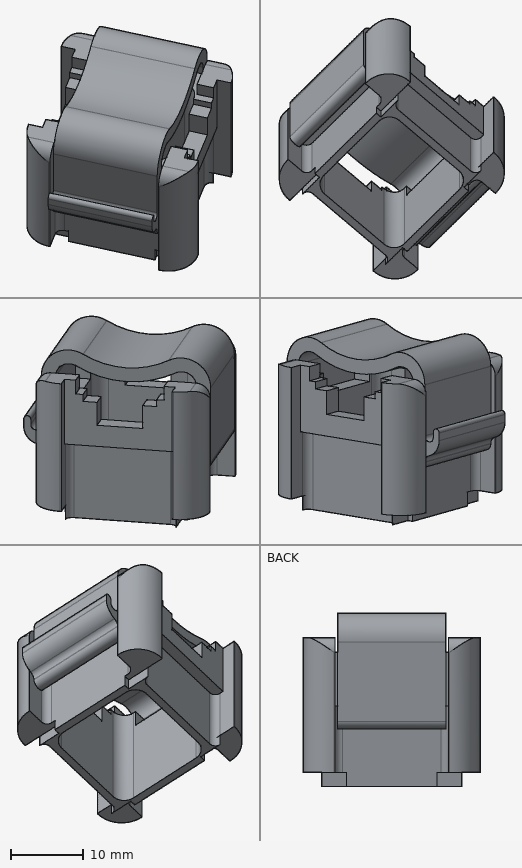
import cadquery as cq
import math

HOUSING_SIDE = 24.5
CORNER_RADIUS = 4.25
HALF_SIDE = HOUSING_SIDE / 2
WALL_STEP = 2.01

BASE_TOP = 2.0
POST_TOP = 20.62
WALL_TOP = POST_TOP - WALL_STEP
SKIRT_TOP = 11.18

CHANNEL_HALF_WIDTH = 7.85
WALL_FACE = HALF_SIDE - WALL_STEP
SKIRT_FACE = 8.7
CHANNEL_FILLET = 1.0

BASE_HALF_X = SKIRT_FACE + CHANNEL_FILLET
BASE_TONGUE_HALF_X = 6.25

CAVITY_HALF = 7.6
CAVITY_RADIUS = 2.01
POST_INNER_Y = 6.25
STEP_HALF_WIDTH = 5.22
STEP_FLOOR = 17.6
WINDOW_HALF_WIDTH = 3.23
WINDOW_FLOOR = 14.25
NOTCH_HALF_WIDTH = 5.22
NOTCH_FLOOR = 15.6

STRAP_WIDTH = 15.0
STRAP_LENGTH = 24.0
STRAP_TOP = 24.0
STRAP_BEND_RADIUS = 2 * WALL_STEP
STRAP_DIP = WALL_STEP
LEG_END_RADIUS = WALL_STEP / 2
LEG_END_Z = 9.0
STRAP_REAR = HALF_SIDE
STRAP_FRONT = STRAP_REAR - STRAP_LENGTH
STRAP_MIDDLE = (STRAP_REAR + STRAP_FRONT) / 2

TOTAL_LENGTH = 26.5
HOOK_REACH = TOTAL_LENGTH - STRAP_LENGTH
HOOK_CENTER_Z = 12.4
HOOK_TOP = 14.0
HOOK_TIP_THICKNESS = 1.0
HOOK_GROOVE_Z = 12.75
HOOK_ROOT_FILLET = 1.0


def block(half_x, half_y, z_low, z_high):
    """Box centred on the Z axis between two heights."""
    box = cq.Workplane("XY").box(2 * half_x, 2 * half_y, z_high - z_low, centered=(True, True, False))
    return box.translate((0, 0, z_low))


def four_channels(face, z_low, z_high, fillet=0):
    """One channel per housing side, cut inward as far as `face`."""
    depth = 2 * (HALF_SIDE - face)
    height = z_high - z_low
    channel = cq.Workplane("XY").box(depth, 2 * CHANNEL_HALF_WIDTH, height, centered=(True, True, False))
    if fillet:
        channel = channel.edges("|Z and <X").fillet(fillet)
    channel = channel.translate((HALF_SIDE, 0, z_low))
    channels = channel
    for quarter in (1, 2, 3):
        channels = channels.union(channel.rotate((0, 0, 0), (0, 0, 1), 90 * quarter))
    return channels


def make_posts_and_walls():
    """Rounded square block with channels and the top rounded along its Y ends."""
    housing = block(HALF_SIDE, HALF_SIDE, BASE_TOP, POST_TOP)
    housing = housing.edges("|Z").fillet(CORNER_RADIUS)
    rounded_top = block(HALF_SIDE, HALF_SIDE, BASE_TOP, POST_TOP)
    rounded_top = rounded_top.edges("|X and >Z").fillet(WALL_STEP)
    return housing.intersect(rounded_top).cut(four_channels(WALL_FACE, SKIRT_TOP, POST_TOP))


def make_base():
    """Foot under the housing, with a narrower tongue reaching the skirt faces."""
    wide = block(BASE_HALF_X, CHANNEL_HALF_WIDTH, 0, BASE_TOP)
    return wide.union(block(BASE_TONGUE_HALF_X, SKIRT_FACE, 0, BASE_TOP))


def make_housing():
    housing = make_posts_and_walls().union(make_base())
    housing = housing.cut(four_channels(SKIRT_FACE, 0, SKIRT_TOP, CHANNEL_FILLET))
    cavity = block(CAVITY_HALF, CAVITY_HALF, 0, POST_TOP).edges("|Z").fillet(CAVITY_RADIUS)
    openings = [
        cavity,
        block(CHANNEL_HALF_WIDTH, HALF_SIDE, WALL_TOP, POST_TOP),
        block(HALF_SIDE, POST_INNER_Y, WALL_TOP, POST_TOP),
        block(HALF_SIDE, STEP_HALF_WIDTH, STEP_FLOOR, POST_TOP),
        block(HALF_SIDE, WINDOW_HALF_WIDTH, WINDOW_FLOOR, POST_TOP),
        block(NOTCH_HALF_WIDTH, HALF_SIDE, NOTCH_FLOOR, POST_TOP),
    ]
    for opening in openings:
        housing = housing.cut(opening)
    return housing


def extrude_across_strap(profile):
    """Extrude a YZ profile over the strap width, centred on the YZ plane."""
    return profile.extrude(STRAP_WIDTH).translate((-STRAP_WIDTH / 2, 0, 0))


def under_strap_curve(bend_radius):
    """Solid below a bend-dip-bend curve concentric with the strap, down to the leg ends."""
    bend_offset = STRAP_LENGTH / 2 - STRAP_BEND_RADIUS
    bend_z = STRAP_TOP - STRAP_BEND_RADIUS
    half_length = bend_offset + bend_radius
    dip_z = bend_z + bend_radius - STRAP_DIP
    center_distance = (bend_offset**2 + STRAP_DIP**2) / (2 * STRAP_DIP)
    join_angle = math.asin(bend_offset / center_distance)
    crown_angle = (join_angle - math.pi / 2) / 2

    def bend_point(side, angle):
        """Point on a bend, with the angle measured from the vertical toward the dip."""
        offset = bend_offset - bend_radius * math.sin(angle)
        return (STRAP_MIDDLE + side * offset, bend_z + bend_radius * math.cos(angle))

    profile = (
        cq.Workplane("YZ")
        .moveTo(STRAP_MIDDLE + half_length, LEG_END_Z)
        .lineTo(STRAP_MIDDLE + half_length, bend_z)
        .threePointArc(bend_point(1, crown_angle), bend_point(1, join_angle))
        .threePointArc((STRAP_MIDDLE, dip_z), bend_point(-1, join_angle))
        .threePointArc(bend_point(-1, crown_angle), (STRAP_MIDDLE - half_length, bend_z))
        .lineTo(STRAP_MIDDLE - half_length, LEG_END_Z)
        .close()
    )
    return extrude_across_strap(profile)


def make_strap():
    strap = under_strap_curve(STRAP_BEND_RADIUS).cut(under_strap_curve(STRAP_BEND_RADIUS - WALL_STEP))
    for leg_y in (STRAP_REAR - LEG_END_RADIUS, STRAP_FRONT + LEG_END_RADIUS):
        leg_end = cq.Workplane("YZ").center(leg_y, LEG_END_Z).circle(LEG_END_RADIUS)
        strap = strap.union(extrude_across_strap(leg_end))
    return strap


def make_hook():
    """Upturned hook with a round-bottomed groove and a fillet under its root."""
    tip_outer = STRAP_FRONT - HOOK_REACH
    tip_inner = tip_outer + HOOK_TIP_THICKNESS
    tip_middle = (tip_outer + tip_inner) / 2
    tip_radius = HOOK_TIP_THICKNESS / 2
    groove_radius = (STRAP_FRONT - tip_inner) / 2
    groove_floor = (STRAP_FRONT - groove_radius, HOOK_GROOVE_Z - groove_radius)
    root_y = STRAP_FRONT + LEG_END_RADIUS

    fillet_y = STRAP_FRONT - HOOK_ROOT_FILLET
    center_distance = HOOK_REACH + HOOK_ROOT_FILLET
    fillet_z = HOOK_CENTER_Z - math.sqrt(center_distance**2 - HOOK_ROOT_FILLET**2)
    touch_angle = math.acos(HOOK_ROOT_FILLET / center_distance)

    def outside_point(angle):
        """Point on the hook's outside, measured down from its outermost point."""
        return (
            STRAP_FRONT - HOOK_REACH * math.cos(angle),
            HOOK_CENTER_Z - HOOK_REACH * math.sin(angle),
        )

    fillet_middle = (
        fillet_y + HOOK_ROOT_FILLET * math.cos(touch_angle / 2),
        fillet_z + HOOK_ROOT_FILLET * math.sin(touch_angle / 2),
    )

    profile = (
        cq.Workplane("YZ")
        .moveTo(root_y, HOOK_GROOVE_Z)
        .lineTo(STRAP_FRONT, HOOK_GROOVE_Z)
        .threePointArc(groove_floor, (tip_inner, HOOK_GROOVE_Z))
        .lineTo(tip_inner, HOOK_TOP - tip_radius)
        .threePointArc((tip_middle, HOOK_TOP), (tip_outer, HOOK_TOP - tip_radius))
        .lineTo(tip_outer, HOOK_CENTER_Z)
        .threePointArc(outside_point(touch_angle / 2), outside_point(touch_angle))
        .threePointArc(fillet_middle, (STRAP_FRONT, fillet_z))
        .lineTo(root_y, fillet_z)
        .close()
    )
    return extrude_across_strap(profile)


result = make_housing().union(make_strap()).union(make_hook())